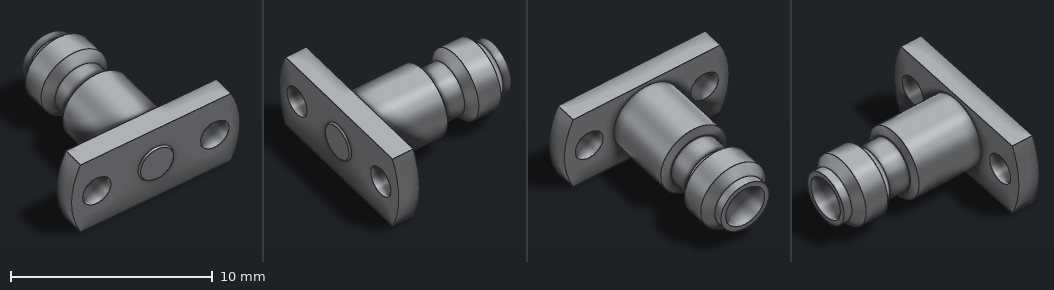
import cadquery as cq

nose_end = 0.5
collar_start = 1.0
collar_end = 2.35
neck_start = 2.84
neck_end = 4.1
body_start = 4.28
flange_front = 8.17
flange_back = 9.44
boss_end = 9.55

nose_radius = 1.49
collar_radius = 2.0
body_radius = 2.03
body_lip_radius = 1.55
bore_radius = 1.2
bore_depth = neck_start

flange_radius = 5.08
flange_height = 4.55
hole_diameter = 1.71
hole_offset = 3.56
boss_base_radius = 1.07
boss_top_radius = 1.0


def revolve_about_x(profile):
    """Turn a closed (x, radius) outline into a solid of revolution."""
    return cq.Workplane("XY").polyline(profile).close().revolve(360, (0, 0, 0), (1, 0, 0))


def make_barrel():
    """Revolve the stepped profile about X and open the blind bore."""
    profile = [
        (0, 0),
        (0, nose_radius),
        (nose_end, nose_radius),
        (collar_start, collar_radius),
        (collar_end, collar_radius),
        (neck_start, nose_radius),
        (neck_end, nose_radius),
        (neck_end, body_lip_radius),
        (body_start, body_radius),
        (flange_front, body_radius),
        (flange_front, 0),
    ]
    barrel = revolve_about_x(profile)
    bore = cq.Workplane("YZ").circle(bore_radius).extrude(bore_depth)
    return barrel.cut(bore)


def make_flange():
    """Disc with flat top and bottom and two mounting holes."""
    thickness = flange_back - flange_front
    plane = cq.Workplane("YZ", origin=(flange_front, 0, 0))
    disc = plane.circle(flange_radius).extrude(thickness)
    band = plane.rect(2 * flange_radius, flange_height).extrude(thickness)
    holes = (
        plane.pushPoints([(-hole_offset, 0), (hole_offset, 0)])
        .circle(hole_diameter / 2)
        .extrude(thickness)
    )
    return disc.intersect(band).cut(holes)


def make_boss():
    """Low tapered round pad on the back of the flange."""
    profile = [
        (flange_back, 0),
        (flange_back, boss_base_radius),
        (boss_end, boss_top_radius),
        (boss_end, 0),
    ]
    return revolve_about_x(profile)


result = make_barrel().union(make_flange()).union(make_boss())